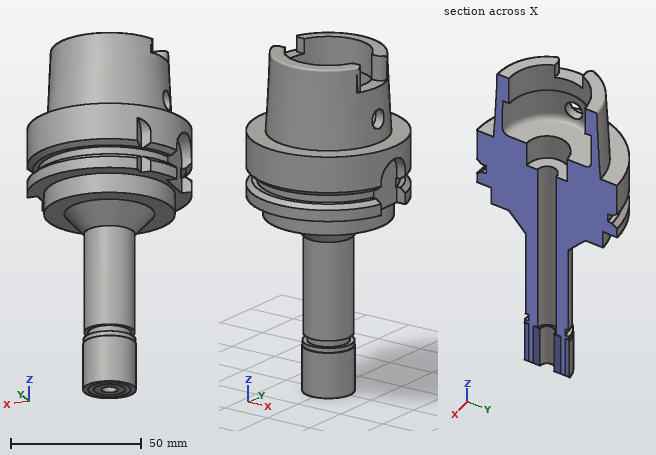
import cadquery as cq
import math


total_length = 137.0

shank_height = 32.0
shank_base_radius = 24.1
taper_slope = 0.05
shank_top_radius = shank_base_radius - taper_slope * shank_height
shank_rim_fillet = 1.0

mouth_radius = 17.0
mouth_depth = 12.6
undercut_radius = 19.9
chamber_depth = 28.8
chamber_floor_fillet = 2.7
coolant_radius = 9.0
coolant_depth = 11.0
channel_radius = 4.1

drive_slot_width = 12.5
drive_slot_corner = 2.5
shallow_slot_depth = 6.0
deep_slot_depth = 10.0

cross_hole_diameter = 7.7
cross_hole_z = 9.3

flange_radius = 31.5
flange_height = 26.0
groove_center_depth = 18.0
groove_floor_radius = 27.4
groove_floor_width = 3.5
groove_step_radius = 29.3
groove_mouth_width = 7.1

keyway_floor = 26.5
keyway_half_width = 8.0
keyway_center_depth = 13.0
notch_floor = 20.4
notch_half_width = 5.5
notch_center_y = 25.3
notch_center_depth = 10.5

hub_radius = 25.1
hub_bottom_depth = 33.8
cone_top_radius = 17.3
cone_bottom_depth = 41.9
stem_radius = 9.7
stem_bottom_depth = 81.8
neck_radius = 8.2
collar_top_depth = 84.7
collar_radius = 10.0
collar_bottom_depth = 86.5
tip_depth = total_length - shank_height

nut_radius = 10.1
nut_edge_chamfer = 0.1
collet_radius = 6.0
collet_bore_radius = 3.2

chamber_floor_z = shank_height - chamber_depth
cutter_overrun = 2.7
past_flange = flange_radius + cutter_overrun


def cylinder(radius, z_bottom, z_top):
    return cq.Workplane("XY").workplane(offset=z_bottom).circle(radius).extrude(z_top - z_bottom)


def holder_blank():
    """Solid of revolution with the outer outline of the holder, from the rim down to the tip."""
    half_floor = groove_floor_width / 2
    half_mouth = groove_mouth_width / 2
    outline = [
        (0, shank_height),
        (shank_top_radius, shank_height),
        (shank_base_radius, 0),
        (flange_radius, 0),
        (flange_radius, -groove_center_depth + half_mouth),
        (groove_step_radius, -groove_center_depth + half_floor),
        (groove_floor_radius, -groove_center_depth + half_floor),
        (groove_floor_radius, -groove_center_depth - half_floor),
        (groove_step_radius, -groove_center_depth - half_floor),
        (flange_radius, -groove_center_depth - half_mouth),
        (flange_radius, -flange_height),
        (hub_radius, -flange_height),
        (hub_radius, -hub_bottom_depth),
        (cone_top_radius, -hub_bottom_depth),
        (stem_radius, -cone_bottom_depth),
        (stem_radius, -stem_bottom_depth),
        (neck_radius, -stem_bottom_depth),
        (neck_radius, -collar_top_depth),
        (collar_radius, -collar_top_depth),
        (collar_radius, -collar_bottom_depth),
        (neck_radius, -collar_bottom_depth),
        (neck_radius, -tip_depth),
        (0, -tip_depth),
    ]
    blank = cq.Workplane("XZ").polyline(outline).close().revolve(360, (0, 0), (0, 1))
    return blank.faces(">Z").edges().fillet(shank_rim_fillet)


def internal_bores():
    """Mouth, chamber, coolant socket, channel and collet seat, joined into one cutter."""
    chamber = cylinder(undercut_radius, chamber_floor_z, shank_height - mouth_depth)
    chamber = chamber.faces("<Z").edges().fillet(chamber_floor_fillet)
    mouth = cylinder(mouth_radius, shank_height - mouth_depth, shank_height)
    coolant_socket = cylinder(coolant_radius, chamber_floor_z - coolant_depth, chamber_floor_z)
    channel = cylinder(channel_radius, -collar_bottom_depth, chamber_floor_z)
    collet_seat = cylinder(collet_radius, -tip_depth, -collar_bottom_depth)
    return chamber.union(mouth).union(coolant_socket).union(channel).union(collet_seat)


def drive_slot(depth, side):
    """Slot through the shank rim on one side (+1 or -1 along X), its walls flaring out round."""
    half_width = drive_slot_width / 2
    rim_radius = shank_base_radius - taper_slope * (shank_height - shallow_slot_depth / 2)
    arc_y = half_width + drive_slot_corner
    arc_x = math.sqrt((rim_radius - drive_slot_corner) ** 2 - arc_y ** 2)
    touch_angle = math.atan2(arc_y, arc_x)
    middle_angle = (touch_angle - math.pi / 2) / 2
    middle_x = arc_x + drive_slot_corner * math.cos(middle_angle)
    middle_y = arc_y + drive_slot_corner * math.sin(middle_angle)
    touch_x = rim_radius * math.cos(touch_angle)
    touch_y = rim_radius * math.sin(touch_angle)
    return (
        cq.Workplane("XY")
        .workplane(offset=shank_height - depth)
        .moveTo(0, -half_width)
        .lineTo(side * arc_x, -half_width)
        .threePointArc((side * middle_x, -middle_y), (side * touch_x, -touch_y))
        .lineTo(side * past_flange, -touch_y)
        .lineTo(side * past_flange, touch_y)
        .lineTo(side * touch_x, touch_y)
        .threePointArc((side * middle_x, middle_y), (side * arc_x, half_width))
        .lineTo(0, half_width)
        .close()
        .extrude(depth)
    )


def flange_slot(floor, half_width, center_y, center_depth, side):
    """Round-topped slot in the flange, open below, with a flat floor facing along X."""
    return (
        cq.Workplane("YZ")
        .workplane(offset=side * floor)
        .moveTo(center_y - half_width, -flange_height)
        .lineTo(center_y - half_width, -center_depth)
        .threePointArc((center_y, half_width - center_depth), (center_y + half_width, -center_depth))
        .lineTo(center_y + half_width, -flange_height)
        .close()
        .extrude(side * (past_flange - floor))
    )


def make_holder():
    body = holder_blank().cut(internal_bores())
    for depth, side in ((shallow_slot_depth, -1), (deep_slot_depth, 1)):
        body = body.cut(drive_slot(depth, side))
        body = body.cut(flange_slot(keyway_floor, keyway_half_width, 0, keyway_center_depth, side))
    body = body.cut(flange_slot(notch_floor, notch_half_width, notch_center_y, notch_center_depth, -1))
    cross_hole = (
        cq.Workplane("YZ")
        .center(0, cross_hole_z)
        .circle(cross_hole_diameter / 2)
        .extrude(past_flange, both=True)
    )
    return body.cut(cross_hole)


def make_nut():
    """Sleeve around the lower end of the holder, seated against the collar."""
    sleeve = cylinder(nut_radius, -tip_depth, -collar_bottom_depth)
    sleeve = sleeve.faces(">Z").edges().chamfer(nut_edge_chamfer)
    return sleeve.cut(cylinder(neck_radius, -tip_depth, -collar_bottom_depth))


def make_collet():
    """Bored sleeve filling the seat at the lower end of the holder."""
    sleeve = cylinder(collet_radius, -tip_depth, -collar_bottom_depth)
    return sleeve.cut(cylinder(collet_bore_radius, -tip_depth, -collar_bottom_depth))


holder = make_holder()
nut = make_nut()
collet = make_collet()

result = cq.Compound.makeCompound([holder.val(), nut.val(), collet.val()])